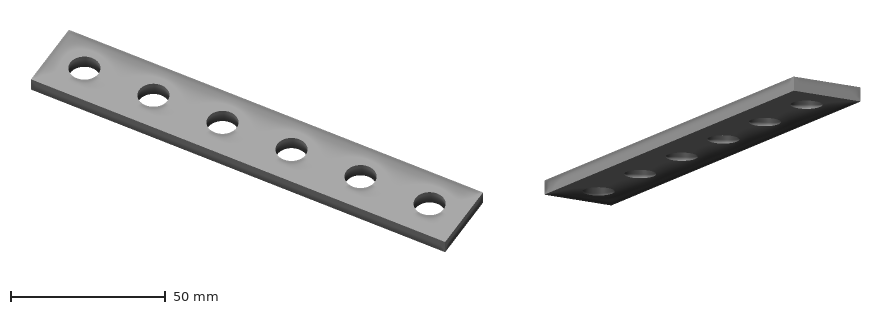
import cadquery as cq

length = 152.4
width = 25.5
thickness = 4.7

hole_count = 6
hole_diameter = 10.4
hole_pitch = length / hole_count

bar = cq.Workplane("XY").box(length, width, thickness)

result = (
    bar.faces(">Z")
    .workplane()
    .rarray(hole_pitch, width, hole_count, 1)
    .hole(hole_diameter)
)